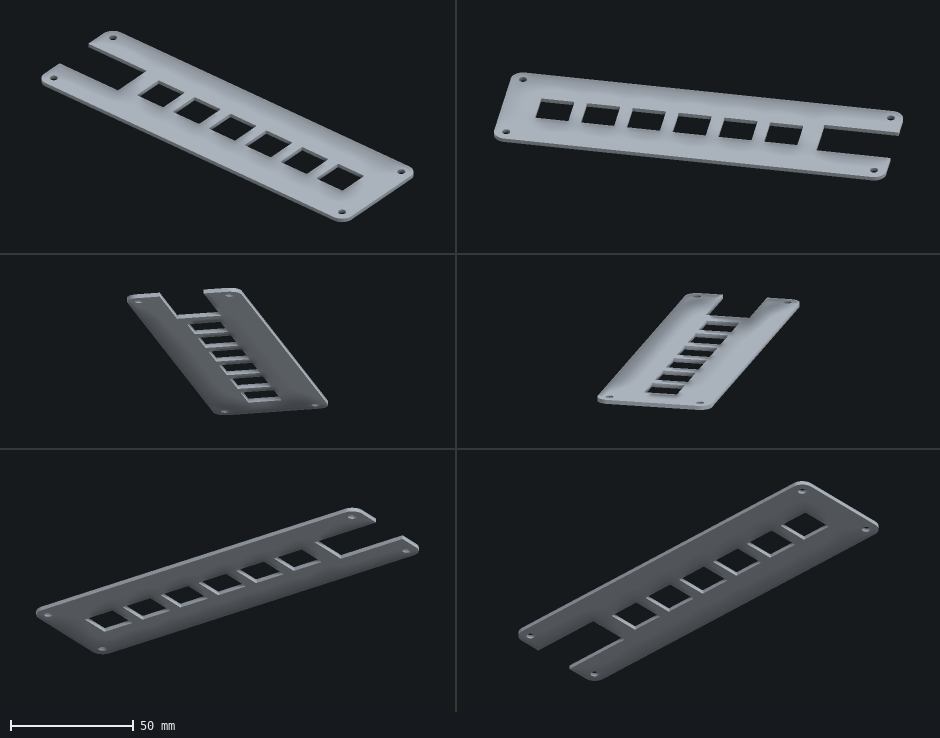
import cadquery as cq

LENGTH = 163.05
WIDTH = 48.09
THICKNESS = 1.7
CORNER_RADIUS = 5.0

HOLE_DIAMETER = 3.4
HOLE_INSET = CORNER_RADIUS

NOTCH_DEPTH = 31.0
NOTCH_WIDTH = 18.5

WINDOW_COUNT = 6
WINDOW_PITCH = 19.05
WINDOW_SIZE = 14.0
WINDOW_CORNER_RADIUS = 0.5
WINDOW_ROW_CENTER_X = 12.24


def make_plate():
    """Flat plate with rounded corners, resting on Z = 0."""
    plate = cq.Workplane("XY").box(LENGTH, WIDTH, THICKNESS, centered=(True, True, False))
    return plate.edges("|Z").fillet(CORNER_RADIUS)


def make_mounting_holes():
    """One through hole near each corner."""
    return (
        cq.Workplane("XY")
        .rect(LENGTH - 2 * HOLE_INSET, WIDTH - 2 * HOLE_INSET, forConstruction=True)
        .vertices()
        .circle(HOLE_DIAMETER / 2)
        .extrude(THICKNESS)
    )


def make_notch():
    """Rectangular cutter reaching in from the -X end."""
    return (
        cq.Workplane("XY")
        .center((NOTCH_DEPTH - LENGTH) / 2, 0)
        .rect(NOTCH_DEPTH, NOTCH_WIDTH)
        .extrude(THICKNESS)
    )


def make_windows():
    """Evenly spaced square cutters with slightly rounded corners."""
    return (
        cq.Workplane("XY")
        .center(WINDOW_ROW_CENTER_X, 0)
        .rarray(WINDOW_PITCH, 1, WINDOW_COUNT, 1)
        .rect(WINDOW_SIZE, WINDOW_SIZE)
        .extrude(THICKNESS)
        .edges("|Z")
        .fillet(WINDOW_CORNER_RADIUS)
    )


result = make_plate().cut(make_mounting_holes()).cut(make_notch()).cut(make_windows())